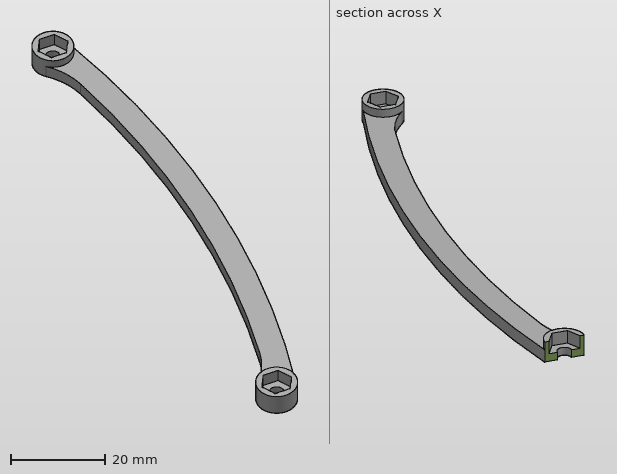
import cadquery as cq
import math

overall_length = 121.0
eye_diameter = 9.0
eye_height = 5.0
bore_diameter = 3.1
hex_across_flats = 6.0
hex_depth = 3.0
bar_thickness = 3.0
bar_width = 5.8
bar_crest_y = 12.1
fillet_radius = 16.0

eye_radius = eye_diameter / 2
eye_x = overall_length / 2 - eye_radius

arc_rise = bar_crest_y - eye_radius
outer_radius = (eye_x**2 + arc_rise**2) / (2 * arc_rise)
inner_radius = outer_radius - bar_width
arc_center_y = bar_crest_y - outer_radius

eye_to_fillet = eye_radius + fillet_radius
arc_to_fillet = inner_radius - fillet_radius
eye_to_arc = math.hypot(eye_x, arc_center_y)
angle_at_eye = math.acos(
    (eye_to_fillet**2 + eye_to_arc**2 - arc_to_fillet**2) / (2 * eye_to_fillet * eye_to_arc)
)
fillet_direction = math.atan2(arc_center_y, -eye_x) - angle_at_eye
fillet_x = eye_x + eye_to_fillet * math.cos(fillet_direction)
fillet_y = eye_to_fillet * math.sin(fillet_direction)

eye_side_angle = fillet_direction + math.pi
arc_side_angle = math.atan2(fillet_y - arc_center_y, fillet_x)
eye_side_angle = math.remainder(eye_side_angle, 2 * math.pi)


def fillet_point(angle):
    """Point on the right-hand fillet circle."""
    return (
        fillet_x + fillet_radius * math.cos(angle),
        fillet_y + fillet_radius * math.sin(angle),
    )


def mirrored(point):
    """Matching point on the left half."""
    return (-point[0], point[1])


eye_touch = fillet_point(eye_side_angle)
fillet_middle = fillet_point((eye_side_angle + arc_side_angle) / 2)
arc_touch = fillet_point(arc_side_angle)

bar = (
    cq.Workplane("XY")
    .moveTo(-eye_x, eye_radius)
    .threePointArc((0, bar_crest_y), (eye_x, eye_radius))
    .lineTo(eye_x, 0)
    .lineTo(*eye_touch)
    .threePointArc(fillet_middle, arc_touch)
    .threePointArc((0, bar_crest_y - bar_width), mirrored(arc_touch))
    .threePointArc(mirrored(fillet_middle), mirrored(eye_touch))
    .lineTo(-eye_x, 0)
    .close()
    .extrude(bar_thickness)
)

eye_centers = [(-eye_x, 0), (eye_x, 0)]
eyes = cq.Workplane("XY").pushPoints(eye_centers).circle(eye_radius).extrude(eye_height)

bores = cq.Workplane("XY").pushPoints(eye_centers).circle(bore_diameter / 2).extrude(eye_height)
hex_across_corners = hex_across_flats / math.cos(math.pi / 6)
hex_pocket = (
    cq.Workplane("XY")
    .workplane(offset=eye_height - hex_depth)
    .polygon(6, hex_across_corners)
    .extrude(hex_depth)
    .rotate((0, 0, 0), (0, 0, 1), 30)
)

result = bar.union(eyes).cut(bores)
for x, y in eye_centers:
    result = result.cut(hex_pocket.translate((x, y, 0)))